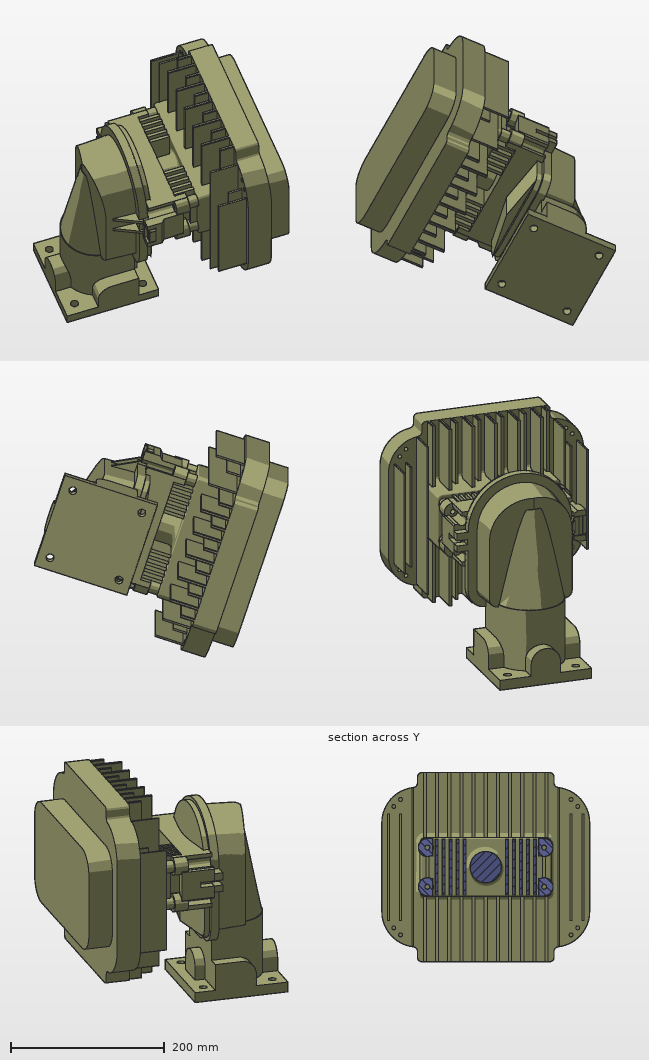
import cadquery as cq
import math


BASE_SIDE = 126.8
BASE_HEIGHT = 13.8
BASE_HOLE_DIAMETER = 10
BASE_HOLE_OFFSET = 47.2
COLUMN_RADIUS = 47
COLUMN_BACK_Y = 35.8
COLUMN_TOP_Z = 97.9
RIB_HALF_WIDTH = 20.3
RIB_TOP_Z = 49.7
SIDE_RIB_FILLET = 20
BACK_RIB_END_Y = 49.5
CONE_BASE_RADIUS = 46
CONE_TOP_RADIUS = 19.8
CONE_TOP_Z = 227.5

ARCH_CENTER_Z = 186.4
FLANGE_FRONT_Y = 33.4
JOINT_Y = 44.7
FLANGE_RADIUS = 71.8
FLANGE_BOTTOM_Z = 79.6
FLANGE_CORNER = 24.5
LIP_BACK_Y = 52
LIP_INSET = 4.7
ROOF_RIDGE_Y = 63.4
ROOF_HALF_WIDTH = 65.5
ROOF_BOTTOM_Z = 90.8
BODY_RADIUS = 59.5
BODY_BOTTOM_Z = 92.4
BODY_CORNER = 12
BODY_DRAFT = 3
PROW_Y = -19.2
PROW_SLOPE = 0.205

HEAD_WIDTH = 270.51
HEAD_CENTER_Z = 173.2
HEAD_WING_HALF_HEIGHT = 104
HEAD_WING_RADIUS = 46.5
HEAD_TOWER_HALF_WIDTH = 88.8
TOTAL_HEIGHT = 296.32
HEAD_TOWER_HALF_HEIGHT = TOTAL_HEIGHT - HEAD_CENTER_Z
HEAD_CORNER = 6
HEAD_FRONT_Y = 161
HEAD_BACK_Y = 193
TOTAL_DEPTH = 288.54
COVER_BACK_Y = TOTAL_DEPTH - BASE_SIDE / 2
COVER_WIDTH = 230.2
COVER_HEIGHT = 139
COVER_CORNER = 29
FIN_PITCH = 15.82
FIN_COUNT_PER_SIDE = 8
LONG_FIN = 38
SHORT_FIN = 18.6
OUTER_FIN_THICKNESS = 2.3
TOWER_FIN_THICKNESS = 4
TOWER_FIN_END_CHAMFER = 0.8
TOWER_FIN_LAST_INDEX = 5
WING_FIN_HALF_HEIGHTS = {6: 102.6, 7: 69.2, 8: 69.2}
WING_HOLE_DIAMETER = 5
WING_HOLE_DEPTH = 10
WING_HOLES = ((110.8, 88), (119.5, 78.9))

NECK_FRONT_Y = 111.4
NECK_WIDTH = 170.4
NECK_HEIGHT = 76.6
NECK_CORNER = 6.4
NECK_ROOT_FILLET = 6.3
NECK_RIM_FILLET = 2.4
NECK_FIN_PITCH = 9.06
NECK_FIN_FIRST_X = 27.5
NECK_FIN_COUNT = 5
NECK_FIN_THICKNESS = 4
NECK_FIN_HEIGHT = 72.6
CABLE_TUBE_RADIUS = 20.5
CABLE_TUBE_FILLET = 6
STANDOFF_RADIUS = 8
SIDE_RAIL_FRONT_Y = 102
SIDE_RAIL_THICKNESS = 4

BRACKET_BACK_Y = 83.9
BOSS_BACK_Y = 98.3
BOSS_FRONT_Y = 80.1
BRACKET_HALF_WIDTH = 76.3
BRACKET_HEIGHT = 75.4
BOSS_X = 75.9
BOSS_Z = 25.5
BOSS_RADIUS = 11.8
BOSS_HOLE_DIAMETER = 6.1
SCREW_GROOVE_RADIUS = 6.6
POST_WIDTH = 7.6
POST_HEIGHT = 23
CHEEK_OUTER_X = 87.6
CHEEK_BACK_Y = 88.9
CHEEK_HALF_HEIGHT = 21.4
CHEEK_CHAMFER = 1.8

HINGE_CHEEK_X = 92.5
HINGE_CHEEK_FRONT_Y = 37.1
HINGE_CHEEK_RAMP_Y = (62, 57.5)
HINGE_HALF_HEIGHT = 13.4
BARREL_RADIUS = 3.8
BARREL_X = 86.4
BARREL_Y = 43.8
HINGE_LEAF_X = (89.5, 94.8)
HINGE_LEAF_Y = (40, 48.2)
HINGE_LEAF_CHAMFER = 2.4
HINGE_CLEARANCE_Y = 49
FORK_HALF_HEIGHT = 12.8
FORK_CHEEK_THICKNESS = 4.7
FORK_TIP_X = 82.6
FORK_START = (58, 2.4)
FORK_KNEE = (76, 36.8)
FORK_ROOT_X = 50
FORK_WEB_DEPTH = 2
FORK_WINDOW_X = (72.6, 77.4)
CATCH_TOP_Z = ARCH_CENTER_Z
CATCH_BOTTOM_Z = 160.5
CATCH_ROOT_X = 60
CATCH_SLOT_Z = (169.2, 176.2)
CATCH_SLOT_BACK_Y = 63.3
CATCH_SLOT_END_X = -73

SELECT_MARGIN = 1


def span_box(x_range, y_range, z_range):
    """Box between two limits along each axis."""
    size = [high - low for low, high in (x_range, y_range, z_range)]
    low_corner = cq.Vector(x_range[0], y_range[0], z_range[0])
    return cq.Workplane(cq.Solid.makeBox(*size, low_corner))


def facing(y, z=0):
    """Sketch plane at a given Y: local x is X, local y is Z, and extrusion runs toward -Y."""
    return cq.Workplane("XZ", origin=(0, y, z))


def edges_within(half_width, half_height, front_y, back_y):
    """Selector for edges centred inside a box around the head's middle."""
    return cq.selectors.BoxSelector(
        (-half_width - SELECT_MARGIN, front_y - SELECT_MARGIN, HEAD_CENTER_Z - half_height - SELECT_MARGIN),
        (half_width + SELECT_MARGIN, back_y + SELECT_MARGIN, HEAD_CENTER_Z + half_height + SELECT_MARGIN),
    )


def arch(radius, bottom_z, corner, back_y, depth, draft=0):
    """Round-topped block with rounded lower corners, running from back_y toward -Y."""
    corner_mid = corner * math.sqrt(0.5)
    corner_z = bottom_z + corner
    corner_x = radius - corner
    outline = (
        facing(back_y)
        .moveTo(-radius, ARCH_CENTER_Z)
        .threePointArc((0, ARCH_CENTER_Z + radius), (radius, ARCH_CENTER_Z))
        .lineTo(radius, corner_z)
        .threePointArc((corner_x + corner_mid, corner_z - corner_mid), (corner_x, bottom_z))
        .lineTo(-corner_x, bottom_z)
        .threePointArc((-corner_x - corner_mid, corner_z - corner_mid), (-radius, corner_z))
        .close()
    )
    return outline.extrude(depth, taper=draft)


def base_plate():
    plate = span_box((-BASE_SIDE / 2, BASE_SIDE / 2), (-BASE_SIDE / 2, BASE_SIDE / 2), (0, BASE_HEIGHT))
    hole_spacing = 2 * BASE_HOLE_OFFSET
    return (
        plate.faces(">Z").workplane(origin=(0, 0, BASE_HEIGHT))
        .rarray(hole_spacing, hole_spacing, 2, 2).hole(BASE_HOLE_DIAMETER)
    )


def column():
    """Column, round toward -Y and flat-sided toward +Y, with round-topped ribs at its foot."""
    shaft = cq.Workplane("XY").circle(COLUMN_RADIUS).extrude(COLUMN_TOP_Z)
    shaft = shaft.intersect(span_box((-COLUMN_RADIUS, COLUMN_RADIUS), (-COLUMN_RADIUS, 0), (0, COLUMN_TOP_Z)))
    back = span_box((-COLUMN_RADIUS, COLUMN_RADIUS), (0, COLUMN_BACK_Y), (0, COLUMN_TOP_Z))
    middle_rib = (
        facing(BACK_RIB_END_Y)
        .moveTo(-RIB_HALF_WIDTH, 0)
        .lineTo(-RIB_HALF_WIDTH, RIB_TOP_Z - RIB_HALF_WIDTH)
        .threePointArc((0, RIB_TOP_Z), (RIB_HALF_WIDTH, RIB_TOP_Z - RIB_HALF_WIDTH))
        .lineTo(RIB_HALF_WIDTH, 0)
        .close()
        .extrude(BACK_RIB_END_Y + BASE_SIDE / 2)
    )
    side_ribs = span_box(
        (-BASE_SIDE / 2, BASE_SIDE / 2), (-RIB_HALF_WIDTH, COLUMN_BACK_Y), (0, RIB_TOP_Z)
    ).edges("<Y and >Z").fillet(SIDE_RIB_FILLET)
    return shaft.union(back).union(middle_rib).union(side_ribs)


def elbow_body():
    """Drafted arch whose front is a two-sided prow, with a cone blending down to the column."""
    body = arch(BODY_RADIUS, BODY_BOTTOM_Z, BODY_CORNER, FLANGE_FRONT_Y, FLANGE_FRONT_Y - PROW_Y, BODY_DRAFT)
    prow_edge_y = PROW_Y + PROW_SLOPE * FLANGE_RADIUS
    prow = (
        cq.Workplane("XY")
        .polyline([
            (0, PROW_Y),
            (FLANGE_RADIUS, prow_edge_y),
            (FLANGE_RADIUS, JOINT_Y),
            (-FLANGE_RADIUS, JOINT_Y),
            (-FLANGE_RADIUS, prow_edge_y),
        ])
        .close()
        .extrude(ARCH_CENTER_Z + FLANGE_RADIUS)
    )
    cone = cq.Workplane(cq.Solid.makeCone(
        CONE_BASE_RADIUS, CONE_TOP_RADIUS, CONE_TOP_Z - COLUMN_TOP_Z, cq.Vector(0, 0, COLUMN_TOP_Z)
    ))
    cone_front = cone.intersect(
        span_box((-CONE_BASE_RADIUS, CONE_BASE_RADIUS), (-CONE_BASE_RADIUS, 0), (COLUMN_TOP_Z, CONE_TOP_Z))
    )
    return body.intersect(prow).union(cone_front)


def spigot():
    """Lip and roof-shaped back that enter the bracket: a cone above, two sloping planes below."""
    lip = arch(
        FLANGE_RADIUS - LIP_INSET, FLANGE_BOTTOM_Z + LIP_INSET, FLANGE_CORNER - LIP_INSET,
        LIP_BACK_Y, LIP_BACK_Y - JOINT_Y,
    )
    cone = cq.Workplane(cq.Solid.makeCone(
        ROOF_HALF_WIDTH, 0, ROOF_RIDGE_Y - LIP_BACK_Y,
        cq.Vector(0, LIP_BACK_Y, ARCH_CENTER_Z), cq.Vector(0, 1, 0),
    ))
    roof = (
        cq.Workplane("XY", origin=(0, 0, ROOF_BOTTOM_Z))
        .polyline([(-ROOF_HALF_WIDTH, LIP_BACK_Y), (ROOF_HALF_WIDTH, LIP_BACK_Y), (0, ROOF_RIDGE_Y)])
        .close()
        .extrude(ARCH_CENTER_Z - ROOF_BOTTOM_Z)
    )
    return lip.union(roof).union(cone)


def hinge_fork():
    """Two ramped cheeks on a slotted tab, carrying the hinge barrel and its leaf."""
    middle = HEAD_CENTER_Z
    tab_z = (middle - FORK_HALF_HEIGHT, middle + FORK_HALF_HEIGHT)
    window_half_height = FORK_HALF_HEIGHT - FORK_CHEEK_THICKNESS
    window_z = (middle - window_half_height, middle + window_half_height)
    fork = (
        cq.Workplane("XY", origin=(0, 0, tab_z[0]))
        .polyline([
            (FORK_ROOT_X, FORK_START[1]), FORK_START, FORK_KNEE,
            (FORK_TIP_X, FORK_KNEE[1]), (FORK_TIP_X, JOINT_Y), (FORK_ROOT_X, JOINT_Y),
        ])
        .close()
        .extrude(2 * FORK_HALF_HEIGHT)
    )
    fork = fork.cut(span_box((FORK_ROOT_X, FORK_WINDOW_X[1]), (0, FLANGE_FRONT_Y), window_z))
    fork = fork.cut(span_box(FORK_WINDOW_X, (0, JOINT_Y), window_z))
    hinge_bottom = middle - HINGE_HALF_HEIGHT
    barrel = (
        cq.Workplane("XY", origin=(BARREL_X, BARREL_Y, hinge_bottom))
        .circle(BARREL_RADIUS).extrude(2 * HINGE_HALF_HEIGHT)
    )
    web = span_box((FORK_TIP_X, BARREL_X), (BARREL_Y - FORK_WEB_DEPTH, JOINT_Y), tab_z)
    leaf = span_box(HINGE_LEAF_X, HINGE_LEAF_Y, (hinge_bottom, middle + HINGE_HALF_HEIGHT))
    leaf = leaf.edges(">X and |Y").chamfer(HINGE_LEAF_CHAMFER)
    return fork.union(barrel).union(web).union(leaf)


def catch_slot():
    return span_box((-CHEEK_OUTER_X, CATCH_SLOT_END_X), (FLANGE_FRONT_Y, CATCH_SLOT_BACK_Y), CATCH_SLOT_Z)


def make_elbow():
    flange = arch(FLANGE_RADIUS, FLANGE_BOTTOM_Z, FLANGE_CORNER, JOINT_Y, JOINT_Y - FLANGE_FRONT_Y)
    catch = span_box(
        (-CHEEK_OUTER_X, -CATCH_ROOT_X), (FLANGE_FRONT_Y, JOINT_Y), (CATCH_BOTTOM_Z, CATCH_TOP_Z)
    )
    elbow = base_plate().union(column()).union(elbow_body()).union(flange)
    return elbow.union(catch.cut(catch_slot())).union(spigot()).union(hinge_fork())


def screw_points(y):
    """The four screw axes on a sketch plane at a given Y."""
    return facing(y, HEAD_CENTER_Z).rarray(2 * BOSS_X, 2 * BOSS_Z, 2, 2)


def hinge_cheeks():
    """Stepped side block on +X, opened in the middle for the hinge barrel and leaf."""
    half = CHEEK_HALF_HEIGHT
    block = (
        cq.Workplane("XY", origin=(0, 0, HEAD_CENTER_Z - half))
        .polyline([
            (BRACKET_HALF_WIDTH, CHEEK_BACK_Y), (CHEEK_OUTER_X, CHEEK_BACK_Y),
            (CHEEK_OUTER_X, HINGE_CHEEK_RAMP_Y[0]), (HINGE_CHEEK_X, HINGE_CHEEK_RAMP_Y[1]),
            (HINGE_CHEEK_X, HINGE_CHEEK_FRONT_Y), (BRACKET_HALF_WIDTH, HINGE_CHEEK_FRONT_Y),
        ])
        .close()
        .extrude(2 * half)
    )
    opening = span_box(
        (0, HINGE_CHEEK_X), (0, HINGE_CLEARANCE_Y),
        (HEAD_CENTER_Z - HINGE_HALF_HEIGHT, HEAD_CENTER_Z + HINGE_HALF_HEIGHT),
    )
    return block.cut(opening)


def catch_cheek():
    half = CHEEK_HALF_HEIGHT
    block = span_box(
        (-CHEEK_OUTER_X, -BRACKET_HALF_WIDTH), (JOINT_Y, CHEEK_BACK_Y),
        (HEAD_CENTER_Z - half, HEAD_CENTER_Z + half),
    )
    return block.edges("<X and |Y").chamfer(CHEEK_CHAMFER).cut(catch_slot())


def make_bracket(elbow):
    bracket = (
        facing(BRACKET_BACK_Y, HEAD_CENTER_Z)
        .rect(2 * BRACKET_HALF_WIDTH, BRACKET_HEIGHT).extrude(BRACKET_BACK_Y - JOINT_Y)
    )
    posts = (
        facing(BOSS_BACK_Y, HEAD_CENTER_Z)
        .rarray(2 * BRACKET_HALF_WIDTH - POST_WIDTH, BRACKET_HEIGHT - POST_HEIGHT, 2, 2)
        .rect(POST_WIDTH, POST_HEIGHT).extrude(BOSS_BACK_Y - BOSS_FRONT_Y)
    )
    bosses = screw_points(BOSS_BACK_Y).circle(BOSS_RADIUS).extrude(BOSS_BACK_Y - BOSS_FRONT_Y)
    bosses = bosses.cut(span_box(
        (-BRACKET_HALF_WIDTH + POST_WIDTH, BRACKET_HALF_WIDTH - POST_WIDTH),
        (BRACKET_BACK_Y, BOSS_BACK_Y), (0, 2 * HEAD_CENTER_Z),
    ))
    grooves = screw_points(BOSS_FRONT_Y).circle(SCREW_GROOVE_RADIUS).extrude(BOSS_FRONT_Y)
    holes = screw_points(BOSS_BACK_Y).circle(BOSS_HOLE_DIAMETER / 2).extrude(BOSS_BACK_Y)
    bracket = bracket.union(posts).union(hinge_cheeks()).union(catch_cheek())
    bracket = bracket.cut(grooves).union(bosses).cut(holes)
    return bracket.cut(elbow)


def head_plate():
    """Wide round-cornered plate crossed by a taller tower, blended at the inside corners."""
    depth = HEAD_BACK_Y - HEAD_FRONT_Y
    wing = facing(HEAD_BACK_Y, HEAD_CENTER_Z).rect(HEAD_WIDTH, 2 * HEAD_WING_HALF_HEIGHT).extrude(depth)
    wing = wing.edges("|Y").fillet(HEAD_WING_RADIUS)
    tower = (
        facing(HEAD_BACK_Y, HEAD_CENTER_Z)
        .rect(2 * HEAD_TOWER_HALF_WIDTH, 2 * HEAD_TOWER_HALF_HEIGHT).extrude(depth)
        .edges("|Y").fillet(HEAD_CORNER)
    )
    reach = HEAD_TOWER_HALF_WIDTH + HEAD_CORNER
    inside_corners = edges_within(reach, HEAD_WING_HALF_HEIGHT, HEAD_FRONT_Y, HEAD_BACK_Y)
    return wing.union(tower).edges("|Y").edges(inside_corners).fillet(HEAD_CORNER)


def rear_cover():
    return (
        facing(COVER_BACK_Y, HEAD_CENTER_Z)
        .rect(COVER_WIDTH, COVER_HEIGHT).extrude(COVER_BACK_Y - HEAD_BACK_Y)
        .edges("|Y").fillet(COVER_CORNER)
    )


def cooling_fin(index):
    """One cooling fin; fins with an even index are long."""
    length = LONG_FIN if index % 2 == 0 else SHORT_FIN
    on_tower = abs(index) <= TOWER_FIN_LAST_INDEX
    half_height = HEAD_TOWER_HALF_HEIGHT if on_tower else WING_FIN_HALF_HEIGHTS[abs(index)]
    thickness = TOWER_FIN_THICKNESS if on_tower else OUTER_FIN_THICKNESS
    fin = (
        facing(HEAD_FRONT_Y, HEAD_CENTER_Z).center(index * FIN_PITCH, 0)
        .rect(thickness, 2 * half_height).extrude(length)
    )
    if on_tower:
        fin = fin.edges("|Y").chamfer(TOWER_FIN_END_CHAMFER)
    return fin


def neck():
    """Box between the fins, with filleted root and rim, and the cable tube on its front."""
    box = (
        facing(HEAD_FRONT_Y, HEAD_CENTER_Z)
        .rect(NECK_WIDTH, NECK_HEIGHT).extrude(HEAD_FRONT_Y - NECK_FRONT_Y)
        .edges("|Y").fillet(NECK_CORNER)
        .faces("<Y").edges().fillet(NECK_RIM_FILLET)
    )
    tube = (
        facing(NECK_FRONT_Y, HEAD_CENTER_Z)
        .circle(CABLE_TUBE_RADIUS).extrude(NECK_FRONT_Y - BRACKET_BACK_Y)
    )
    root = edges_within(CABLE_TUBE_RADIUS, CABLE_TUBE_RADIUS, NECK_FRONT_Y, NECK_FRONT_Y)
    return box.union(tube).edges(root).fillet(CABLE_TUBE_FILLET)


def neck_front_details():
    """Thin fins, standoffs and side rails on the front of the neck."""
    details = screw_points(NECK_FRONT_Y).circle(STANDOFF_RADIUS).extrude(NECK_FRONT_Y - BOSS_BACK_Y)
    for side in (-1, 1):
        for index in range(NECK_FIN_COUNT):
            fin_x = side * (NECK_FIN_FIRST_X + index * NECK_FIN_PITCH)
            fin = (
                facing(NECK_FRONT_Y, HEAD_CENTER_Z).center(fin_x, 0)
                .rect(NECK_FIN_THICKNESS, NECK_FIN_HEIGHT).extrude(NECK_FRONT_Y - BRACKET_BACK_Y)
            )
            details = details.union(fin)
        rail = (
            facing(NECK_FRONT_Y, HEAD_CENTER_Z).center(side * BOSS_X, 0)
            .rect(SIDE_RAIL_THICKNESS, 2 * BOSS_Z).extrude(NECK_FRONT_Y - SIDE_RAIL_FRONT_Y)
        )
        details = details.union(rail)
    return details


def wing_holes():
    """Pairs of blind holes near the four corners of the wings."""
    points = [
        (x_sign * x, z_sign * z)
        for x, z in WING_HOLES
        for x_sign in (-1, 1)
        for z_sign in (-1, 1)
    ]
    return (
        facing(HEAD_FRONT_Y + WING_HOLE_DEPTH, HEAD_CENTER_Z)
        .pushPoints(points).circle(WING_HOLE_DIAMETER / 2).extrude(WING_HOLE_DEPTH)
    )


def make_head():
    head = head_plate().union(neck())
    root = edges_within(NECK_WIDTH / 2, NECK_HEIGHT / 2, HEAD_FRONT_Y, HEAD_FRONT_Y)
    head = head.edges(root).fillet(NECK_ROOT_FILLET).cut(wing_holes()).union(rear_cover())
    for index in range(-FIN_COUNT_PER_SIDE, FIN_COUNT_PER_SIDE + 1):
        head = head.union(cooling_fin(index))
    return head.union(neck_front_details())


elbow = make_elbow()
bracket = make_bracket(elbow)
head = make_head()
result = cq.Compound.makeCompound([elbow.val(), bracket.val(), head.val()])